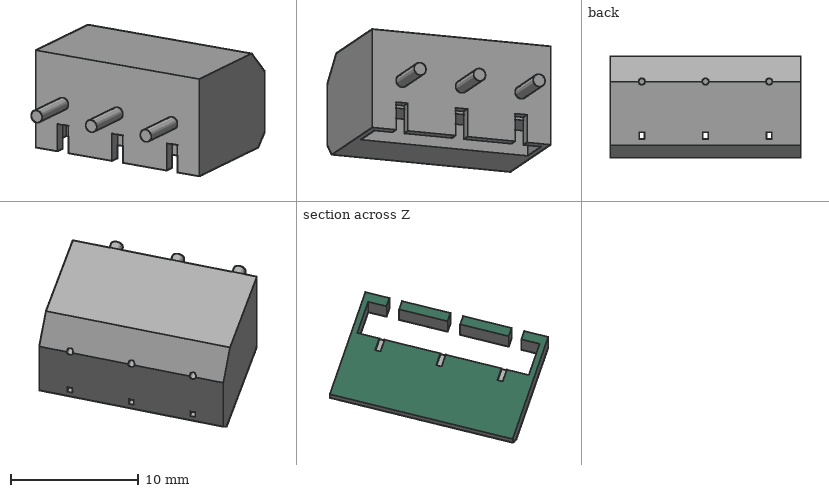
import cadquery as cq

pitch = 5.0
pole_count = 3
length = pitch * pole_count
depth = 10.0
height = 8.0
top_chamfer = 2.0
bottom_chamfer = 1.0

pin_diameter = 1.0
pin_length = 4.0
pin_z = height / 2

front_wall = 0.85
recess_height = 2.0
recess_depth = 3.0
recess_end_wall = 0.5
slot_width = 1.0
slot_height = 2.25

passage_width = 0.4
passage_top = recess_height
passage_front_floor = 1.38
passage_rear_floor = 1.5
passage_step_y = depth / 2

test_hole_diameter = 0.5
test_hole_depth = 2.0
test_hole_z = height - top_chamfer

pole_positions = [pitch * (index + 0.5) for index in range(pole_count)]


def box(width, depth_y, height_z, x_center, y_start, z_start):
    """Box centred on x_center, growing in +Y and +Z from its start values."""
    return (
        cq.Workplane("XY")
        .box(width, depth_y, height_z, centered=(True, False, False))
        .translate((x_center, y_start, z_start))
    )


def rod(diameter, rod_length, x_center, y_start, z_center):
    """Cylinder along +Y starting at y_start."""
    start = cq.Vector(x_center, y_start, z_center)
    return cq.Workplane(cq.Solid.makeCylinder(diameter / 2, rod_length, start, cq.Vector(0, 1, 0)))


def housing():
    """Block with its two long back edges chamfered."""
    profile = [
        (0, 0),
        (depth - bottom_chamfer, 0),
        (depth, bottom_chamfer),
        (depth, height - top_chamfer),
        (depth - top_chamfer, height),
        (0, height),
    ]
    return cq.Workplane("YZ").polyline(profile).close().extrude(length)


def recess():
    """Space open to the underside, closed by walls on all four sides."""
    return box(length - 2 * recess_end_wall, recess_depth, recess_height, length / 2, front_wall, 0)


def slot(x):
    """Slot through the front wall, open at the bottom and slightly taller than the recess."""
    return box(slot_width, front_wall, slot_height, x, 0, 0)


def passage(x):
    """Rectangular passage from the recess to the back face with a stepped floor."""
    recess_back_y = front_wall + recess_depth
    front_part = box(
        passage_width,
        passage_step_y - recess_back_y,
        passage_top - passage_front_floor,
        x,
        recess_back_y,
        passage_front_floor,
    )
    rear_part = box(
        passage_width,
        depth - passage_step_y,
        passage_top - passage_rear_floor,
        x,
        passage_step_y,
        passage_rear_floor,
    )
    return front_part.union(rear_part)


def test_hole(x):
    """Blind hole in the back face that also breaks through the top chamfer."""
    return rod(test_hole_diameter, test_hole_depth, x, depth - test_hole_depth, test_hole_z)


def pin(x):
    """Round solder pin standing out of the front face."""
    return rod(pin_diameter, pin_length, x, -pin_length, pin_z)


result = housing().cut(recess())
for pole_x in pole_positions:
    result = result.cut(slot(pole_x))
    result = result.cut(passage(pole_x))
    result = result.cut(test_hole(pole_x))
    result = result.union(pin(pole_x))